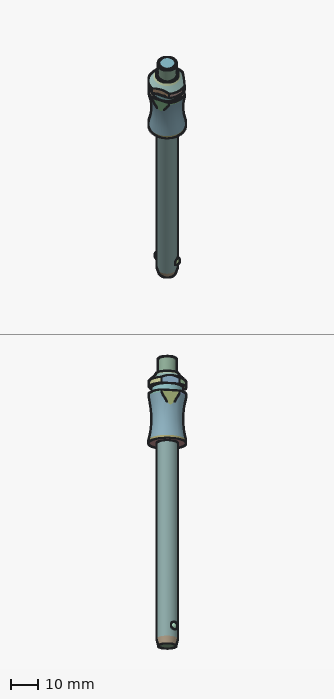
import cadquery as cq
import math

total_length = 111.3
tip_height = 2.7
ball_height = 7.0
handle_bottom = 78.4
rim_height = 1.0
waist_height = 87.7
groove_bottom = 97.2
groove_top = 99.8
collar_top = 102.1
cone_top = 105.2

tip_radius = 3.3
shank_radius = 4.0
handle_radius = 7.0
waist_radius = 5.9
button_radius = 3.6
cone_break_radius = 5.0
cone_top_radius = 4.2
ball_radius = 1.6
ball_reach = 5.0

button_chamfer_height = 0.5
button_chamfer_width = 0.6
flat_distance = 6.1
flat_angles = (-90, 30, 150)

cone_break = collar_top + handle_radius - cone_break_radius

grip_bottom = handle_bottom + rim_height
grip_top = 2 * waist_height - grip_bottom
half_grip = waist_height - grip_bottom
quarter_rise = half_grip / 2
grip_depth = handle_radius - waist_radius
grip_arc_radius = (half_grip**2 + grip_depth**2) / (2 * grip_depth)


def grip_arc_point(height):
    """Point on the concave grip arc at the given height."""
    offset = math.sqrt(grip_arc_radius**2 - (height - waist_height) ** 2)
    return (waist_radius + grip_arc_radius - offset, height)


def make_body():
    """Revolve the shank, handle and button about the pin axis."""
    lower_mid = grip_arc_point(waist_height - quarter_rise)
    upper_mid = grip_arc_point(waist_height + quarter_rise)
    profile = (
        cq.Workplane("XZ")
        .lineTo(tip_radius, 0)
        .lineTo(shank_radius, tip_height)
        .lineTo(shank_radius, handle_bottom)
        .lineTo(handle_radius, handle_bottom)
        .lineTo(handle_radius, grip_bottom)
        .threePointArc(lower_mid, (waist_radius, waist_height))
        .threePointArc(upper_mid, (handle_radius, grip_top))
        .lineTo(handle_radius, groove_bottom)
        .lineTo(waist_radius, groove_bottom)
        .lineTo(waist_radius, groove_top)
        .lineTo(handle_radius, groove_top)
        .lineTo(handle_radius, collar_top)
        .lineTo(cone_break_radius, cone_break)
        .lineTo(cone_top_radius, cone_top)
        .lineTo(button_radius, cone_top)
        .lineTo(button_radius, total_length - button_chamfer_height)
        .lineTo(button_radius - button_chamfer_width, total_length)
        .lineTo(0, total_length)
        .close()
    )
    return profile.revolve(360, (0, 0, 0), (0, 1, 0))


def make_flat_cutter(angle):
    """Block that trims the upper handle to a flat facing the given angle."""
    depth = handle_radius
    return (
        cq.Workplane("XY")
        .box(depth, 2 * handle_radius, total_length - waist_height, centered=(False, True, False))
        .translate((flat_distance, 0, waist_height))
        .rotate((0, 0, 0), (0, 0, 1), angle)
    )


def make_ball(side):
    """Locking ball standing out of the shank on the +X or -X side."""
    center_x = side * (ball_reach - ball_radius)
    return cq.Workplane("XY").sphere(ball_radius).translate((center_x, 0, ball_height))


result = make_body()
for flat_angle in flat_angles:
    result = result.cut(make_flat_cutter(flat_angle))
for ball_side in (-1, 1):
    result = result.union(make_ball(ball_side))